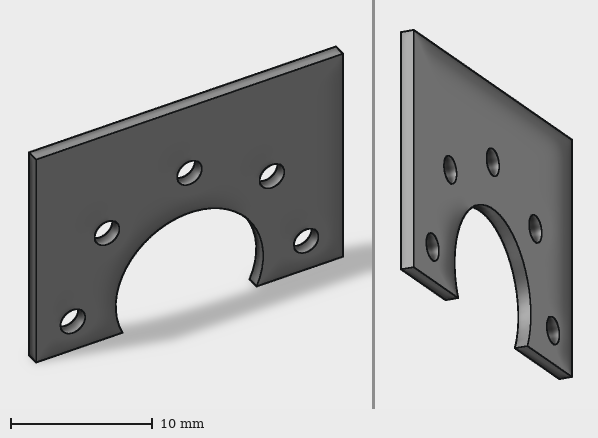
import cadquery as cq

thickness = 1.0
width = 25.0
height = 17.82

opening_radius = 6.0
opening_height = 2.5

hole_diameter = 2.0
hole_circle_radius = 9.5
hole_count = 5
hole_spacing_angle = 180.0 / (hole_count - 1)


def make_plate():
    return cq.Workplane("XY").box(thickness, width, height, centered=(True, True, False))


def make_opening():
    return (
        cq.Workplane("YZ")
        .center(0, opening_height)
        .circle(opening_radius)
        .extrude(thickness, both=True)
    )


def make_holes():
    return (
        cq.Workplane("YZ")
        .center(0, opening_height)
        .polarArray(hole_circle_radius, 0, hole_spacing_angle, hole_count, fill=False)
        .circle(hole_diameter / 2)
        .extrude(thickness, both=True)
    )


result = make_plate().cut(make_opening()).cut(make_holes())